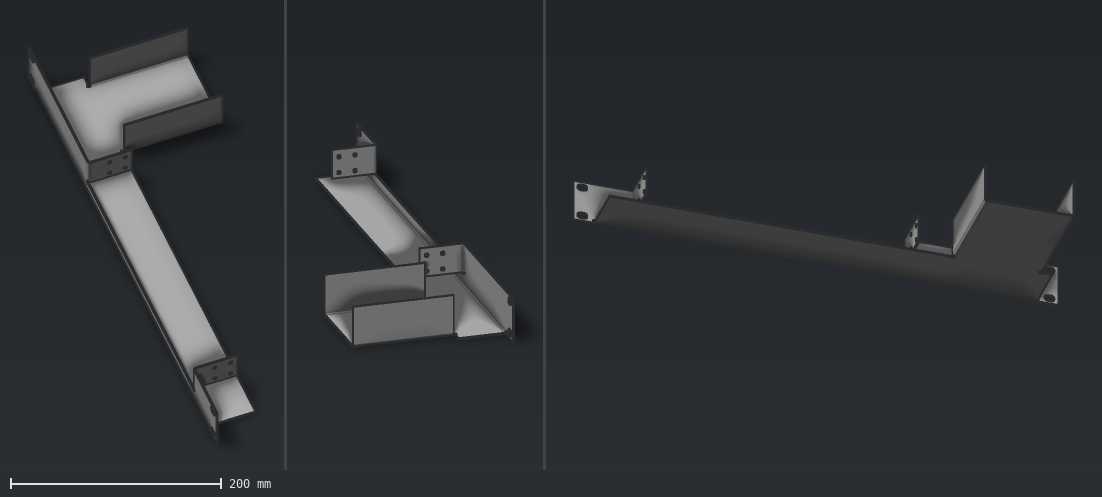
import cadquery as cq

SHEET = 1.5
INNER_RADIUS = 1.5
OUTER_RADIUS = INNER_RADIUS + SHEET

PANEL_WIDTH = 482.6
PANEL_HEIGHT = 43.66
SLOT_SPACING_X = 465.1
SLOT_SPACING_Z = 31.75
SLOT_LENGTH = 10.0
SLOT_HEIGHT = 6.5

WINDOW_LEFT = -88.0
WINDOW_RIGHT = 181.3
WINDOW_FLOOR = 13.0
TAB_DEPTH = 45.0
TAB_HOLE_DIAMETER = 3.5
TAB_HOLE_SPACING = 16.0
TAB_HOLES_Y = 30.0
TAB_HOLES_Z = 28.0

SHELF_END_INSET = 21.0
SHELF_WIDTH = PANEL_WIDTH - 2 * SHELF_END_INSET
SHELF_DEPTH = 48.5

TRAY_END_INSET = 10.0
TRAY_WIDTH = 90.0
TRAY_LEFT = -SHELF_WIDTH / 2 + TRAY_END_INSET
TRAY_RIGHT = TRAY_LEFT + TRAY_WIDTH
TRAY_BACK = 150.0
WALL_FRONT = 50.0
WALL_TOP = 41.5

RELIEF_WIDTH = 1.5
TAB_RELIEF_OVERRUN = 0.5
WALL_RELIEF_DIAMETER = 3.5
WALL_RELIEF_INSET = OUTER_RADIUS / 2

TAB_BOTTOM = WINDOW_FLOOR + RELIEF_WIDTH


def box(x_range, y_range, z_range):
    """Axis-aligned block between the given limits."""
    size = [high - low for low, high in (x_range, y_range, z_range)]
    block = cq.Workplane("XY").box(*size, centered=False)
    return block.translate((x_range[0], y_range[0], z_range[0]))


def bend(plane, length):
    """Quarter-round sheet bend; its two flanges run along the plane's axes, away from the origin corner."""
    return (
        cq.Workplane(plane)
        .moveTo(OUTER_RADIUS, 0)
        .radiusArc((0, OUTER_RADIUS), OUTER_RADIUS)
        .lineTo(SHEET, OUTER_RADIUS)
        .radiusArc((OUTER_RADIUS, SHEET), -INNER_RADIUS)
        .close()
        .extrude(length)
    )


def make_panel():
    """Flat part of the front panel, without the strips taken up by the bends."""
    half = PANEL_WIDTH / 2
    through = (0, SHEET)
    panel = box((-half, half), through, (0, PANEL_HEIGHT))
    strip_half = SHELF_WIDTH / 2 + RELIEF_WIDTH
    shelf_strip = box((-strip_half, strip_half), through, (0, OUTER_RADIUS))
    window = box(
        (WINDOW_LEFT - OUTER_RADIUS, WINDOW_RIGHT + OUTER_RADIUS),
        through,
        (WINDOW_FLOOR, PANEL_HEIGHT),
    )
    slots = (
        cq.Workplane("XZ", origin=(0, 0, PANEL_HEIGHT / 2))
        .rarray(SLOT_SPACING_X, SLOT_SPACING_Z, 2, 2)
        .slot2D(SLOT_LENGTH, SLOT_HEIGHT)
        .extrude(-SHEET)
    )
    relief_reach = OUTER_RADIUS + TAB_RELIEF_OVERRUN
    tab_reliefs = box(
        (WINDOW_LEFT - relief_reach, WINDOW_RIGHT + relief_reach),
        through,
        (WINDOW_FLOOR, TAB_BOTTOM),
    )
    return panel.cut(shelf_strip).cut(window).cut(tab_reliefs).cut(slots)


def make_shelf():
    """Shelf with its front bend."""
    plane = cq.Plane(origin=(-SHELF_WIDTH / 2, 0, 0), xDir=(0, 1, 0), normal=(1, 0, 0))
    flat = box((-SHELF_WIDTH / 2, SHELF_WIDTH / 2), (OUTER_RADIUS, SHELF_DEPTH), (0, SHEET))
    return flat.union(bend(plane, SHELF_WIDTH))


def make_tab(window_edge, outward):
    """Tab folded back at a window edge; outward is the X direction from the window into the panel."""
    start = TAB_BOTTOM if outward > 0 else PANEL_HEIGHT
    plane = cq.Plane(
        origin=(window_edge, 0, start), xDir=(outward, 0, 0), normal=(0, 0, outward)
    )
    faces_x = sorted((window_edge, window_edge + outward * SHEET))
    flat = box(faces_x, (OUTER_RADIUS, TAB_DEPTH), (TAB_BOTTOM, PANEL_HEIGHT))
    tab = flat.union(bend(plane, PANEL_HEIGHT - TAB_BOTTOM))
    holes = (
        cq.Workplane("YZ", origin=(window_edge, TAB_HOLES_Y, TAB_HOLES_Z))
        .rarray(TAB_HOLE_SPACING, TAB_HOLE_SPACING, 2, 2)
        .circle(TAB_HOLE_DIAMETER / 2)
        .extrude(SHEET, both=True)
    )
    return tab.cut(holes)


def make_tray():
    """Tray floor and its two folded side walls."""
    floor = box(
        (TRAY_LEFT + OUTER_RADIUS, TRAY_RIGHT - OUTER_RADIUS),
        (SHELF_DEPTH, TRAY_BACK),
        (0, SHEET),
    )
    wall_y = (WALL_FRONT, TRAY_BACK)
    wall_z = (OUTER_RADIUS, WALL_TOP)
    wall_length = TRAY_BACK - WALL_FRONT
    left_plane = cq.Plane(origin=(TRAY_LEFT, TRAY_BACK, 0), xDir=(1, 0, 0), normal=(0, -1, 0))
    right_plane = cq.Plane(origin=(TRAY_RIGHT, WALL_FRONT, 0), xDir=(-1, 0, 0), normal=(0, 1, 0))
    return (
        floor.union(bend(left_plane, wall_length))
        .union(bend(right_plane, wall_length))
        .union(box((TRAY_LEFT, TRAY_LEFT + SHEET), wall_y, wall_z))
        .union(box((TRAY_RIGHT - SHEET, TRAY_RIGHT), wall_y, wall_z))
    )


def cut_wall_reliefs(body):
    """Round relief through the sheet at the front end of each wall bend."""
    centres_x = (TRAY_LEFT + WALL_RELIEF_INSET, TRAY_RIGHT - WALL_RELIEF_INSET)
    reliefs = (
        cq.Workplane("XY")
        .pushPoints([(x, SHELF_DEPTH) for x in centres_x])
        .circle(WALL_RELIEF_DIAMETER / 2)
        .extrude(SHEET)
    )
    return body.cut(reliefs)


body = make_panel().union(make_shelf()).union(make_tray())
body = body.union(make_tab(WINDOW_LEFT, -1)).union(make_tab(WINDOW_RIGHT, 1))
result = cut_wall_reliefs(body)